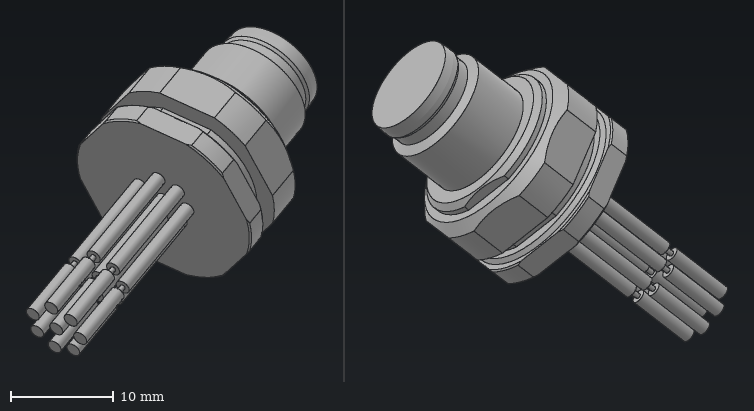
import cadquery as cq
import math


hex_across_flats = 19.0
hex_corner_radius = 10.0

flange_thickness = 2.43
flange_edge_chamfer = 0.15
seal_top = 2.87
seal_base_radius = 9.23
seal_top_radius = 8.82

nut_rear = 4.4
nut_front = 9.45
nut_chamfer = 1.1

body_front = 10.6
body_radius = 8.0
body_chamfer = 0.6
body_across_flats = 15.05

sleeve_radius = 12.0 / 2
sleeve_end = 16.75
neck_radius = 4.98
neck_start = 17.25
neck_end = 18.5
rim_radius = 10.4 / 2
rim_start = 18.82
rim_end = 19.45
tip_radius = 5.1
tip_end = 20.45

wire_radius = 1.5 / 2
core_radius = 0.55 / 2
overall_length = 40.5
wire_length = overall_length - tip_end
gap_start = 12.1
gap_length = 0.97
wire_circle_radius = 2.75
circle_wire_count = 7
wire_angle_step = 49
middle_wire_angle = -45


def revolve_about_y(profile):
    """Revolve a list of (radius, y) points about the Y axis."""
    return cq.Workplane("XY").polyline(profile).close().revolve(360, (0, 0, 0), (0, 1, 0))


def cylinder_toward_rear(x, z, radius, start, length):
    """Cylinder along -Y, from the given distance behind the flange face."""
    return cq.Workplane("XZ", origin=(x, -start, z)).circle(radius).extrude(length)


def rounded_hexagon(rear, front, front_chamfer, rear_chamfer=0):
    """Hexagonal prism with flats facing +Z and -Z, cut by a chamfered round envelope."""
    across_corners = hex_across_flats / math.cos(math.radians(30))
    prism = cq.Workplane("XZ", origin=(0, rear, 0)).polygon(6, across_corners).extrude(rear - front)
    envelope = revolve_about_y([
        (0, rear),
        (hex_corner_radius, rear),
        (hex_corner_radius, front - front_chamfer),
        (hex_corner_radius - front_chamfer, front),
        (0, front),
    ])
    if rear_chamfer > 0:
        envelope = envelope.faces("<Y").chamfer(rear_chamfer)
    return prism.intersect(envelope)


def make_flange():
    plate = rounded_hexagon(0, flange_thickness, flange_edge_chamfer, flange_edge_chamfer)
    seal = revolve_about_y([
        (0, 0),
        (seal_base_radius, 0),
        (seal_base_radius, flange_thickness),
        (seal_top_radius, seal_top),
        (0, seal_top),
    ])
    return plate.union(seal)


def make_nut():
    return rounded_hexagon(nut_rear, nut_front, nut_chamfer)


def make_body():
    barrel = revolve_about_y([
        (0, 0),
        (body_radius, 0),
        (body_radius, body_front - body_chamfer),
        (body_radius - body_chamfer, body_front),
        (0, body_front),
    ])
    flats = cq.Workplane("XY").box(2 * body_radius, 2 * body_front, body_across_flats)
    return barrel.intersect(flats)


def make_sleeve():
    return revolve_about_y([
        (0, 0),
        (sleeve_radius, 0),
        (sleeve_radius, sleeve_end),
        (neck_radius, neck_start),
        (neck_radius, neck_end),
        (rim_radius, rim_start),
        (rim_radius, rim_end),
        (tip_radius, tip_end),
        (0, tip_end),
    ])


def make_wire(x, z):
    gap_end = gap_start + gap_length
    front_part = cylinder_toward_rear(x, z, wire_radius, 0, gap_start)
    core = cylinder_toward_rear(x, z, core_radius, 0, wire_length)
    rear_part = cylinder_toward_rear(x, z, wire_radius, gap_end, wire_length - gap_end)
    return front_part.union(core).union(rear_part)


result = make_flange().union(make_body()).union(make_nut()).union(make_sleeve())

result = result.union(make_wire(0, 0))
for i in range(circle_wire_count):
    angle = math.radians(middle_wire_angle + (i - circle_wire_count // 2) * wire_angle_step)
    wire_x = wire_circle_radius * math.cos(angle)
    wire_z = wire_circle_radius * math.sin(angle)
    result = result.union(make_wire(wire_x, wire_z))